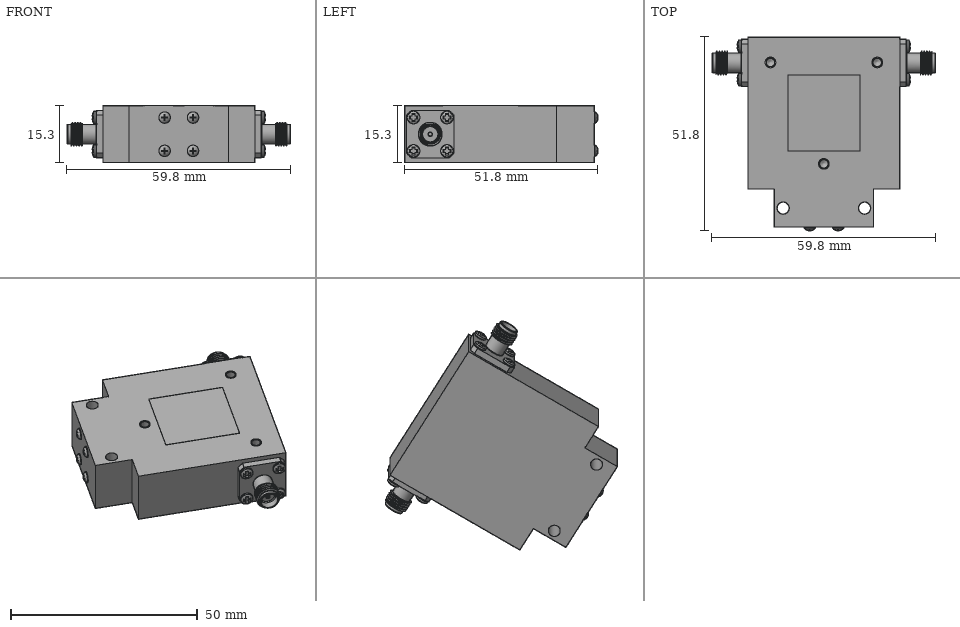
import cadquery as cq
import math

body_side = 40.64
body_height = 15.24
block_width = 26.6
block_depth = 10.16
body_half = body_side / 2
block_front_y = -body_half - block_depth
mid_height = body_height / 2

label_width = 19.3
label_length = 20.32
label_thickness = 0.08

top_hole_rim_diameter = 2.85
top_hole_diameter = 2.26
top_hole_rim_depth = 0.1
top_hole_drill_depth = 5.5
drill_point_angle = 118.0
top_hole_edge_distance = 6.75
top_hole_pair_spacing = 28.575

mount_hole_diameter = 3.17
mount_hole_spacing = 21.8
mount_hole_edge_distance = 5.08

flange_side = 12.7
flange_thickness = 1.7
flange_corner_chamfer = 1.27
connector_edge_distance = 6.88
connector_y = body_half - connector_edge_distance
connector_tip_x = 29.895
barrel_diameter = 5.33
barrel_end_diameter = 5.08
barrel_end_length = 0.2
bore_diameter = 4.52
bore_floor_diameter = 4.1
bore_depth = 2.3
bore_taper_length = 0.35
contact_diameter = 1.19
contact_bore_diameter = 0.94
contact_length = 0.6
flange_face_x = body_half + flange_thickness
barrel_length = connector_tip_x - flange_face_x

thread_diameter = 6.35
thread_pitch = 25.4 / 36
thread_root_diameter = 5.5
thread_tip_offset = 1.0
thread_length = 3.05
thread_base_width = 0.66
thread_crest_width = 0.06
thread_root_overlap = 0.1
thread_start_angle = 108.0

flange_screw_diameter = 3.39
flange_screw_height = 1.24
flange_screw_rim = 0.72
flange_screw_base_chamfer = 0.2
flange_screw_spacing = 8.95
flange_recess_span = 2.4
flange_recess_floor_span = 1.5
flange_recess_width = 0.78
flange_recess_depth = 0.7

block_screw_diameter = 3.06
block_screw_height = 1.03
block_screw_rim = 0.2
block_screw_spacing_x = 7.6
block_screw_spacing_z = 8.9
block_recess_span = 1.9
block_recess_floor_span = 1.0
block_recess_width = 0.28
block_recess_depth = 0.6


def cylinder(diameter, start, end):
    """Cylinder about Z between two heights."""
    return cq.Workplane("XY").workplane(offset=start).circle(diameter / 2).extrude(end - start)


def cross_recess(top, span, floor_span, width, depth):
    """Cross-shaped driver recess whose arms narrow in length towards the floor."""
    arm = (
        cq.Workplane("XZ")
        .moveTo(-span / 2, top)
        .lineTo(span / 2, top)
        .lineTo(floor_span / 2, top - depth)
        .lineTo(-floor_span / 2, top - depth)
        .close()
        .extrude(width / 2, both=True)
    )
    return arm.union(arm.rotate((0, 0, 0), (0, 0, 1), 90))


def screw_head(diameter, height, rim):
    """Head standing on z = 0: a straight rim topped by a spherical dome."""
    radius = diameter / 2
    dome_height = height - rim
    dome_radius = (radius**2 + dome_height**2) / (2 * dome_height)
    half_angle = math.asin(radius / dome_radius) / 2
    mid_x = dome_radius * math.sin(half_angle)
    mid_z = height - dome_radius * (1 - math.cos(half_angle))
    return (
        cq.Workplane("XZ")
        .lineTo(radius, 0)
        .lineTo(radius, rim)
        .threePointArc((mid_x, mid_z), (0, height))
        .close()
        .revolve(360, (0, 0), (0, 1))
    )


def make_flange_screw():
    head = screw_head(flange_screw_diameter, flange_screw_height, flange_screw_rim)
    head = head.faces("<Z").chamfer(flange_screw_base_chamfer)
    return head.cut(
        cross_recess(
            flange_screw_height,
            flange_recess_span,
            flange_recess_floor_span,
            flange_recess_width,
            flange_recess_depth,
        )
    )


def make_block_screw():
    head = screw_head(block_screw_diameter, block_screw_height, block_screw_rim)
    return head.cut(
        cross_recess(
            block_screw_height,
            block_recess_span,
            block_recess_floor_span,
            block_recess_width,
            block_recess_depth,
        )
    )


def make_housing():
    body = cq.Workplane("XY").box(body_side, body_side, body_height, centered=(True, True, False))
    block = (
        cq.Workplane("XY")
        .center(0, -body_half - block_depth / 2)
        .box(block_width, block_depth, body_height, centered=(True, True, False))
    )
    label = (
        cq.Workplane("XY")
        .workplane(offset=body_height)
        .box(label_width, label_length, label_thickness, centered=(True, True, False))
    )
    return body.union(block).union(label)


def make_rimmed_hole():
    """Cutter with its mouth at z = 0: shallow rim, drilled bore and drill point."""
    rim = top_hole_rim_diameter / 2
    radius = top_hole_diameter / 2
    point_depth = top_hole_drill_depth + radius / math.tan(math.radians(drill_point_angle / 2))
    return (
        cq.Workplane("XZ")
        .lineTo(rim, 0)
        .lineTo(rim, -top_hole_rim_depth)
        .lineTo(radius, -top_hole_rim_depth)
        .lineTo(radius, -top_hole_drill_depth)
        .lineTo(0, -point_depth)
        .close()
        .revolve(360, (0, 0), (0, 1))
    )


def cut_holes(housing):
    top_y = body_half - top_hole_edge_distance
    top_points = [(-top_hole_pair_spacing / 2, top_y), (top_hole_pair_spacing / 2, top_y), (0, -top_y)]
    rimmed_hole = make_rimmed_hole()
    for x, y in top_points:
        housing = housing.cut(rimmed_hole.translate((x, y, body_height)))

    mount_y = block_front_y + mount_hole_edge_distance
    for x in (-mount_hole_spacing / 2, mount_hole_spacing / 2):
        housing = housing.cut(cylinder(mount_hole_diameter, 0, body_height).translate((x, mount_y, 0)))
    return housing


def add_block_screws(housing):
    screw = make_block_screw().rotate((0, 0, 0), (1, 0, 0), 90)
    for x in (-block_screw_spacing_x / 2, block_screw_spacing_x / 2):
        for dz in (-block_screw_spacing_z / 2, block_screw_spacing_z / 2):
            housing = housing.union(screw.translate((x, block_front_y, mid_height + dz)))
    return housing


def make_threaded_collar():
    """Collar about Z with a right-handed helical ridge, cut square at both ends."""
    root = thread_root_diameter / 2 - thread_root_overlap
    crest = thread_diameter / 2
    helix = cq.Wire.makeHelix(thread_pitch, thread_length + 2 * thread_pitch, root)
    ridge = (
        cq.Workplane("XZ")
        .moveTo(root, -thread_base_width / 2)
        .lineTo(crest, -thread_crest_width / 2)
        .lineTo(crest, thread_crest_width / 2)
        .lineTo(root, thread_base_width / 2)
        .close()
        .sweep(cq.Workplane(obj=helix), isFrenet=True)
        .translate((0, 0, -thread_pitch))
    )
    ridge = ridge.intersect(cylinder(thread_diameter + thread_pitch, 0, thread_length))
    collar = cylinder(thread_root_diameter, 0, thread_length).union(ridge)
    return collar.rotate((0, 0, 0), (0, 0, 1), thread_start_angle)


def make_barrel():
    """Barrel standing on z = 0 with both ends tapered to a smaller diameter."""
    radius = barrel_diameter / 2
    end_radius = barrel_end_diameter / 2
    return (
        cq.Workplane("XZ")
        .lineTo(end_radius, 0)
        .lineTo(radius, barrel_end_length)
        .lineTo(radius, barrel_length - barrel_end_length)
        .lineTo(end_radius, barrel_length)
        .lineTo(0, barrel_length)
        .close()
        .revolve(360, (0, 0), (0, 1))
    )


def make_bore():
    """Cutter for the barrel bore about Z, mouth at z = 0, tapering in just above its floor."""
    radius = bore_diameter / 2
    floor_radius = bore_floor_diameter / 2
    return (
        cq.Workplane("XZ")
        .lineTo(radius, 0)
        .lineTo(radius, bore_taper_length - bore_depth)
        .lineTo(floor_radius, -bore_depth)
        .lineTo(0, -bore_depth)
        .close()
        .revolve(360, (0, 0), (0, 1))
    )


def make_connector():
    """Connector along +Z: flange back on z = 0, barrel tip at the far end."""
    flange = (
        cq.Workplane("XY")
        .box(flange_side, flange_side, flange_thickness, centered=(True, True, False))
        .edges("|Z")
        .chamfer(flange_corner_chamfer)
    )
    tip = flange_thickness + barrel_length
    thread_start = tip - thread_tip_offset - thread_length
    bore_floor = tip - bore_depth

    connector = flange.union(make_barrel().translate((0, 0, flange_thickness)))
    connector = connector.union(make_threaded_collar().translate((0, 0, thread_start)))
    connector = connector.cut(make_bore().translate((0, 0, tip)))
    contact_end = bore_floor + contact_length
    connector = connector.union(cylinder(contact_diameter, bore_floor, contact_end))
    connector = connector.cut(cylinder(contact_bore_diameter, bore_floor, contact_end))

    screw = make_flange_screw()
    for x in (-flange_screw_spacing / 2, flange_screw_spacing / 2):
        for y in (-flange_screw_spacing / 2, flange_screw_spacing / 2):
            connector = connector.union(screw.translate((x, y, flange_thickness)))
    return connector


def add_connectors(housing):
    left = make_connector().rotate((0, 0, 0), (0, 1, 0), -90)
    right = left.rotate((0, 0, 0), (0, 0, 1), 180)
    housing = housing.union(left.translate((-body_half, connector_y, mid_height)))
    return housing.union(right.translate((body_half, connector_y, mid_height)))


result = add_connectors(add_block_screws(cut_holes(make_housing())))